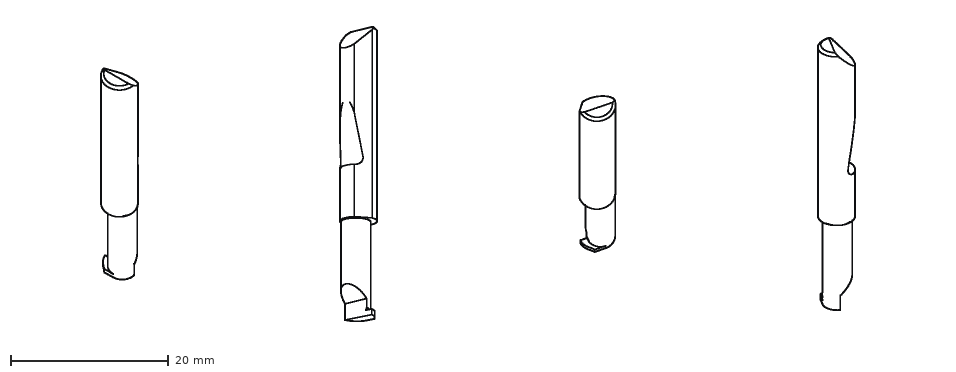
import cadquery as cq
import math

total_length = 38.1
shank_radius = 2.38
shank_bottom = 12.73
end_chamfer = 0.4
bevel_start_y = -0.6
side_flat_angle = 150.0
side_flat_distance = shank_radius * math.cos(math.radians(30.0))

notch_radius = 0.95
notch_bottom = 19.62
notch_center_y = 2.0
notch_slope = math.radians(10.0)

neck_radius = 1.9
neck_center_x = shank_radius - neck_radius
neck_left = neck_center_x - neck_radius
runout_height = 2.3

tooth_height = 0.75
tooth_tip_x = -2.3
tooth_flank_mid = (-2.02, -0.8)
tooth_flank_end = (-1.45, -1.45)
tooth_heel = (-1.0, -neck_radius)
tooth_back = (neck_center_x, -neck_radius)
undercut_depth = 0.15
undercut_height = 0.35
bottom_rise = 0.15

clearance = 3.8


def side_prism(points):
    """Extrude a (Y, Z) outline through the whole width of the part."""
    return cq.Workplane("YZ").polyline(points).close().extrude(2 * shank_radius, both=True)


def front_prism(points):
    """Extrude an (X, Z) outline through the whole depth of the part."""
    return cq.Workplane("XZ").polyline(points).close().extrude(2 * shank_radius, both=True)


def make_notch():
    tangent_y = notch_center_y - notch_radius * math.cos(notch_slope)
    center_z = notch_bottom + notch_radius
    tangent_z = center_z + notch_radius * math.sin(notch_slope)
    outside_y = shank_radius + clearance
    ramp_end_z = tangent_z + (outside_y - tangent_y) / math.tan(notch_slope)
    mid_angle = (math.pi / 2 - notch_slope) / 2
    arc_mid = (
        notch_center_y - notch_radius * math.cos(mid_angle),
        center_z - notch_radius * math.sin(mid_angle),
    )
    return (
        cq.Workplane("YZ")
        .moveTo(outside_y, notch_bottom)
        .lineTo(notch_center_y, notch_bottom)
        .threePointArc(arc_mid, (tangent_y, tangent_z))
        .lineTo(outside_y, ramp_end_z)
        .close()
        .extrude(2 * shank_radius, both=True)
    )


def make_shank():
    shank = (
        cq.Workplane("XY", origin=(0, 0, shank_bottom))
        .circle(shank_radius)
        .extrude(total_length - shank_bottom)
        .faces(">Z")
        .chamfer(end_chamfer)
    )
    flat_cutter = (
        cq.Workplane("XY")
        .center(side_flat_distance + clearance / 2, 0)
        .rect(clearance, 4 * shank_radius)
        .extrude(total_length)
        .rotate((0, 0, 0), (0, 0, 1), side_flat_angle)
    )
    bevel_reach = 2 * shank_radius
    top_bevel = side_prism([
        (bevel_start_y, total_length),
        (bevel_start_y + bevel_reach, total_length - bevel_reach),
        (bevel_start_y + bevel_reach, total_length),
    ])
    return shank.cut(flat_cutter).cut(top_bevel).cut(make_notch())


def make_neck():
    neck = cq.Workplane("XY").center(neck_center_x, 0).circle(neck_radius).extrude(shank_bottom)
    rake_cutter = side_prism([
        (0, 0),
        (0, runout_height),
        (clearance, runout_height + clearance),
        (clearance, 0),
    ])
    undercut = front_prism([
        (neck_left, tooth_height + undercut_height),
        (neck_left + undercut_depth, tooth_height),
        (neck_left, tooth_height),
    ])
    return neck.cut(rake_cutter).cut(undercut)


def make_tooth():
    return (
        cq.Workplane("XY")
        .moveTo(tooth_back[0], 0)
        .lineTo(tooth_tip_x, 0)
        .threePointArc(tooth_flank_mid, tooth_flank_end)
        .lineTo(*tooth_heel)
        .lineTo(*tooth_back)
        .close()
        .extrude(tooth_height)
    )


bottom_relief = front_prism([
    (tooth_tip_x, 0),
    (shank_radius, bottom_rise),
    (shank_radius, 0),
])

result = make_shank().union(make_neck()).union(make_tooth()).cut(bottom_relief)